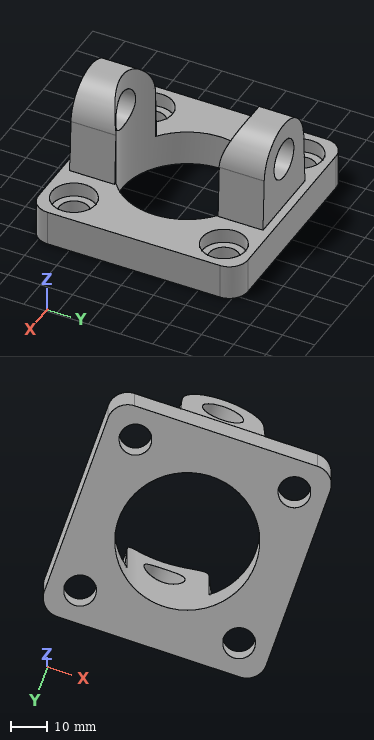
import cadquery as cq
import math

plate_side = 65.0
plate_thickness = 11.0
corner_radius = 5.75
bore_diameter = 40.0

hole_spacing = 46.5
hole_diameter = 9.0
counterbore_diameter = 13.5
counterbore_depth = 4.5

total_height = 39.0
lug_radius = 12.0
lug_span = 60.0
lug_gap = 32.0
lug_draft = math.radians(2.5)
pin_diameter = 12.0
pin_height = total_height - lug_radius


def make_plate():
    return (
        cq.Workplane("XY")
        .rect(plate_side, plate_side)
        .extrude(plate_thickness)
        .edges("|Z")
        .fillet(corner_radius)
    )


def make_lugs():
    """Two facing lugs, cut from one bar; the bore later hollows their inner faces."""
    tangent_x = lug_radius * math.cos(lug_draft)
    tangent_z = pin_height + lug_radius * math.sin(lug_draft)
    foot_x = tangent_x + (tangent_z - plate_thickness) * math.tan(lug_draft)
    bar = (
        cq.Workplane("XZ")
        .moveTo(-foot_x, plate_thickness)
        .lineTo(-tangent_x, tangent_z)
        .threePointArc((0, total_height), (tangent_x, tangent_z))
        .lineTo(foot_x, plate_thickness)
        .close()
        .extrude(lug_span / 2, both=True)
    )
    gap = cq.Workplane("XY").box(2 * foot_x, lug_gap, 2 * total_height)
    return bar.cut(gap)


def cut_bore(body):
    bore = cq.Workplane("XY").circle(bore_diameter / 2).extrude(total_height)
    return body.cut(bore)


def cut_pin_holes(body):
    pin = (
        cq.Workplane("XZ")
        .center(0, pin_height)
        .circle(pin_diameter / 2)
        .extrude(lug_span / 2, both=True)
    )
    return body.cut(pin)


def cut_mounting_holes(body):
    """Counterbored from the top face of the plate."""
    return (
        body.cut(mounting_cylinders(hole_diameter, plate_thickness))
        .cut(mounting_cylinders(counterbore_diameter, counterbore_depth))
    )


def mounting_cylinders(diameter, depth):
    """Four cylinders reaching down from the plate's top face."""
    return (
        cq.Workplane("XY")
        .workplane(offset=plate_thickness)
        .rect(hole_spacing, hole_spacing, forConstruction=True)
        .vertices()
        .circle(diameter / 2)
        .extrude(-depth)
    )


body = make_plate().union(make_lugs())
body = cut_bore(body)
body = cut_pin_holes(body)
result = cut_mounting_holes(body)